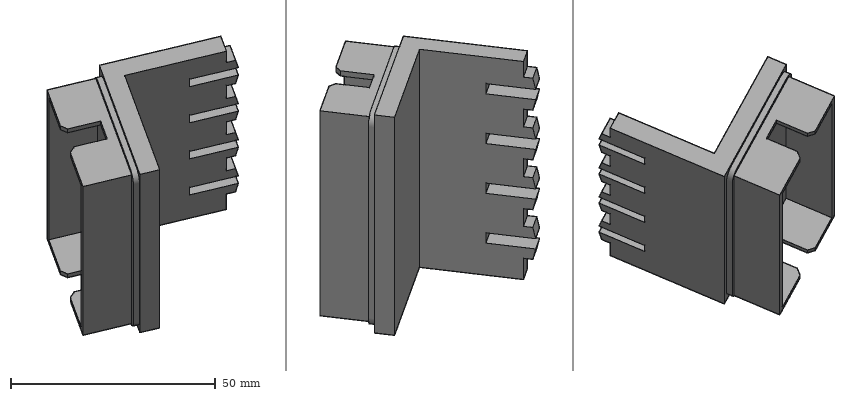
import cadquery as cq

width = 34.8
total_depth = 48.1
height = 64.8
plate_thickness = 5.05
leg_thickness = 4.8

pad_thickness = 1.55
pad_left_margin = 1.3
pad_right_margin = 0.3
pad_end_margin = 0.9
pad_corner_radius = 3.0

box_depth = 12.45
box_left_margin = 2.2
box_width = 30.8
box_end_margin = 1.95
box_wall = 1.55

notch_width = 5.65
notch_depth = 9.85
notch_chamfer = 1.4

pair_count = 4
pair_pitch = 14.8
top_pair_offset = 9.4
tooth_length = 3.05
tooth_height = 3.25
tooth_taper = 0.7
slot_width = 3.05
slot_depth = 12.45

plate_front = box_depth + pad_thickness
pad_width = width - pad_left_margin - pad_right_margin
pad_center = pad_left_margin + pad_width / 2
leg_rear = total_depth - tooth_length


def block(x, y, z, dx, dy, dz):
    """Box with its minimum corner at (x, y, z)."""
    return cq.Workplane("XY").box(dx, dy, dz, centered=False).translate((x, y, z))


def make_bracket():
    plate = block(0, plate_front, 0, width, plate_thickness, height)
    leg = block(0, plate_front, 0, leg_thickness, leg_rear - plate_front, height)
    return plate.union(leg)


def make_pad():
    pad = block(
        pad_left_margin, box_depth, pad_end_margin,
        pad_width, pad_thickness, height - 2 * pad_end_margin,
    )
    return pad.edges("|Y").fillet(pad_corner_radius)


def make_box():
    box_height = height - 2 * box_end_margin
    outer = block(box_left_margin, 0, box_end_margin, box_width, box_depth, box_height)
    cavity = block(
        box_left_margin + box_wall, 0, box_end_margin + box_wall,
        box_width - 2 * box_wall, box_depth, box_height - 2 * box_wall,
    )
    half_notch = notch_width / 2
    half_mouth = half_notch + notch_chamfer
    notch = (
        cq.Workplane("XY")
        .polyline([
            (pad_center - half_mouth, 0),
            (pad_center - half_notch, notch_chamfer),
            (pad_center - half_notch, notch_depth),
            (pad_center + half_notch, notch_depth),
            (pad_center + half_notch, notch_chamfer),
            (pad_center + half_mouth, 0),
        ])
        .close()
        .extrude(height)
    )
    return outer.cut(cavity).cut(notch)


def make_tooth_pair(z):
    """Two tapered teeth, tallest at the slot between them."""
    half_slot = slot_width / 2
    half_pair = half_slot + tooth_height
    return (
        cq.Workplane("YZ")
        .polyline([
            (leg_rear, z - half_pair),
            (total_depth - tooth_taper, z - half_pair),
            (total_depth, z - half_slot),
            (total_depth, z + half_slot),
            (total_depth - tooth_taper, z + half_pair),
            (leg_rear, z + half_pair),
        ])
        .close()
        .extrude(leg_thickness)
    )


def make_slot(z):
    return block(
        0, total_depth - slot_depth, z - slot_width / 2,
        leg_thickness, slot_depth, slot_width,
    )


result = make_bracket().union(make_pad()).union(make_box())
for index in range(pair_count):
    pair_z = height - top_pair_offset - index * pair_pitch
    result = result.union(make_tooth_pair(pair_z)).cut(make_slot(pair_z))